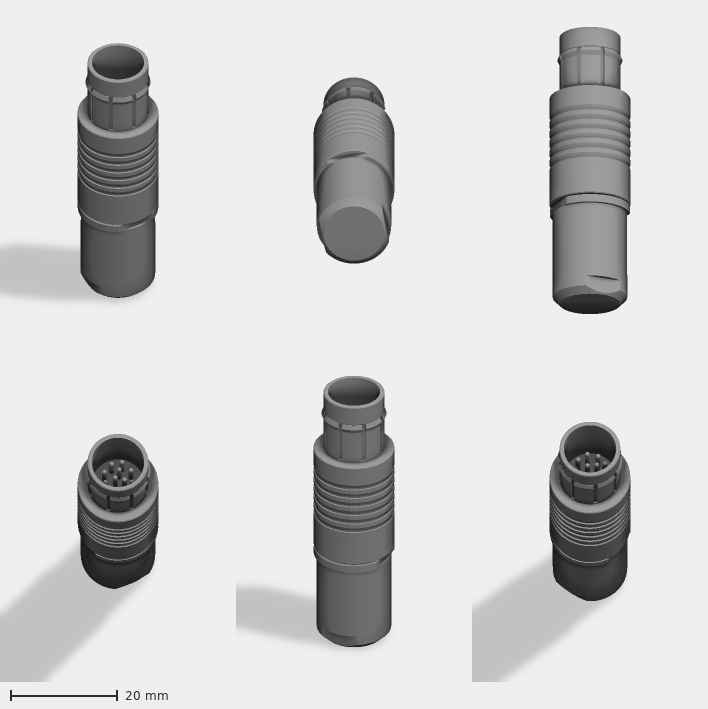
import cadquery as cq
import math

LENGTH = 53.1
EDGE_BREAK = 0.15

BODY_DIA = 13.95
BODY_TOP = 17.7
TAPER_HEIGHT = 1.3
TAPER_END_DIA = 11.4
FLATS_WIDTH = 12.0
FLATS_HEIGHT = 3.2

SLEEVE_DIA = 15.15
COLLAR_TOP = 19.15
COLLAR_WIDTH = 13.0
NECK_DIA = 12.2

SLEEVE_BOTTOM = 19.5
SLEEVE_TOP = 40.9
GROOVE_COUNT = 6
FIRST_GROOVE = 26.55
LAST_GROOVE = 36.0
GROOVE_PITCH = (LAST_GROOVE - FIRST_GROOVE) / (GROOVE_COUNT - 1)
GROOVE_DIA = 14.5
GROOVE_FLOOR = 0.3
GROOVE_HEIGHT = 1.0

TUBE_DIA = 11.4
TUBE_CORE_DIA = 10.8
BORE_DIA = 9.75
BORE_FLOOR = SLEEVE_TOP
BAND_BOTTOM = 49.15
FINGER_TOP = BAND_BOTTOM
LATCH_DIA = 12.15
LATCH_BOTTOM = 47.6
LATCH_PEAK = (FINGER_TOP + LATCH_BOTTOM) / 2
SLOT_COUNT = 8
SLOT_WIDTH = 0.8
SLOT_BOTTOM = 41.2

PIN_DIA = 0.9
PIN_HEIGHT = 4.25
PIN_CIRCLE_RADIUS = 2.7
PIN_DIAGONAL = PIN_CIRCLE_RADIUS / math.sqrt(2)
OUTER_PINS = [
    (PIN_CIRCLE_RADIUS, 0),
    (-PIN_CIRCLE_RADIUS, 0),
    (0, PIN_CIRCLE_RADIUS),
    (0, -PIN_CIRCLE_RADIUS),
    (-PIN_DIAGONAL, PIN_DIAGONAL),
    (-PIN_DIAGONAL, -PIN_DIAGONAL),
]
OFFSET_PINS = [(1.9, 2.2), (1.9, -2.2)]
INNER_PINS = [(-0.6, 0), (0.8, 1.1), (0.8, -1.1)]
PIN_POINTS = OUTER_PINS + OFFSET_PINS + INNER_PINS


def cylinder(diameter, bottom, top):
    return cq.Workplane("XY").workplane(offset=bottom).circle(diameter / 2).extrude(top - bottom)


def revolved_profile(points):
    return cq.Workplane("XZ").polyline(points).close().revolve(360, (0, 0, 0), (0, 1, 0))


def slab(size_x, size_y, bottom, top):
    return cq.Workplane("XY").workplane(offset=bottom).rect(size_x, size_y).extrude(top - bottom)


def rear_body():
    body = revolved_profile([
        (0, 0),
        (TAPER_END_DIA / 2, 0),
        (BODY_DIA / 2, TAPER_HEIGHT),
        (BODY_DIA / 2, BODY_TOP),
        (0, BODY_TOP),
    ])
    outside_flats = slab(BODY_DIA, 2 * BODY_DIA, 0, FLATS_HEIGHT).cut(
        slab(BODY_DIA, FLATS_WIDTH, 0, FLATS_HEIGHT))
    return body.cut(outside_flats)


def collar():
    ring = cylinder(SLEEVE_DIA, BODY_TOP, COLLAR_TOP)
    return ring.intersect(slab(COLLAR_WIDTH, SLEEVE_DIA, BODY_TOP, COLLAR_TOP))


def grip_sleeve():
    sleeve = cylinder(SLEEVE_DIA, SLEEVE_BOTTOM, SLEEVE_TOP).edges("%CIRCLE").chamfer(EDGE_BREAK)
    for i in range(GROOVE_COUNT):
        bottom = FIRST_GROOVE + i * GROOVE_PITCH
        groove = revolved_profile([
            (GROOVE_DIA / 2, bottom),
            (SLEEVE_DIA / 2, bottom),
            (SLEEVE_DIA / 2, bottom + GROOVE_HEIGHT),
            (GROOVE_DIA / 2, bottom + GROOVE_FLOOR),
        ])
        sleeve = sleeve.cut(groove)
    return sleeve


def latch_fingers():
    fingers = revolved_profile([
        (0, SLEEVE_TOP),
        (TUBE_DIA / 2, SLEEVE_TOP),
        (TUBE_DIA / 2, LATCH_BOTTOM),
        (LATCH_DIA / 2, LATCH_PEAK),
        (TUBE_DIA / 2, FINGER_TOP),
        (0, FINGER_TOP),
    ])
    slot = slab(LATCH_DIA, SLOT_WIDTH, SLOT_BOTTOM, FINGER_TOP)
    for i in range(SLOT_COUNT // 2):
        fingers = fingers.cut(slot.rotate((0, 0, 0), (0, 0, 1), i * 360 / SLOT_COUNT))
    return fingers


def plug_tube():
    core = cylinder(TUBE_CORE_DIA, SLEEVE_TOP, LENGTH)
    band = cylinder(TUBE_DIA, BAND_BOTTOM, LENGTH).edges("%CIRCLE").chamfer(EDGE_BREAK)
    bore = cylinder(BORE_DIA, BORE_FLOOR, LENGTH)
    return core.union(band).union(latch_fingers()).cut(bore)


def pins():
    base = cq.Workplane("XY").workplane(offset=BORE_FLOOR)
    pegs = base.pushPoints(PIN_POINTS).circle(PIN_DIA / 2).extrude(PIN_HEIGHT)
    tips = base.workplane(offset=PIN_HEIGHT).pushPoints(PIN_POINTS).sphere(PIN_DIA / 2)
    return pegs.union(tips)


neck = cylinder(NECK_DIA, COLLAR_TOP, SLEEVE_BOTTOM)
result = rear_body().union(collar()).union(neck).union(grip_sleeve()).union(plug_tube()).union(pins())